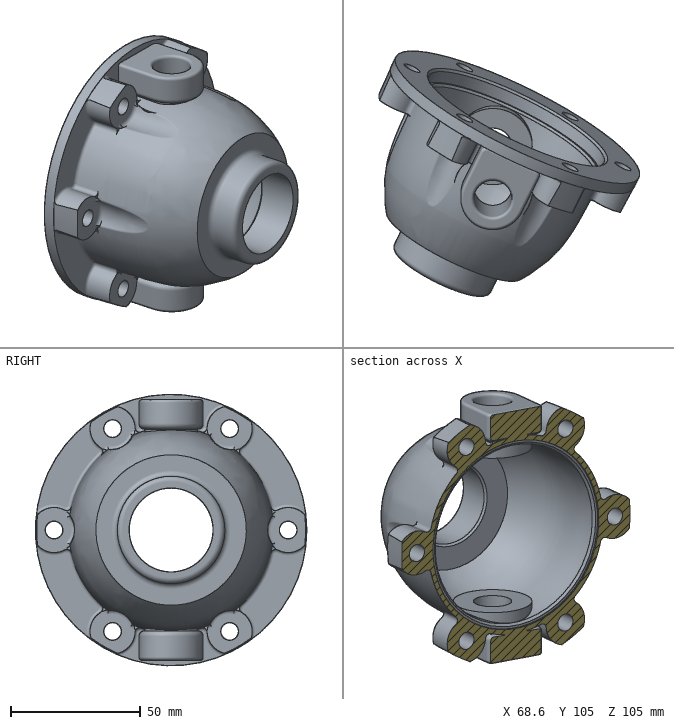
import cadquery as cq
import math

total_length = 68.6
flange_radius = 52.5
flange_thickness = 4.5
flange_root_fillet = 1.2
dome_root_radius = 39.8
dome_shoulder_x = 26.2
dome_shoulder_radius = 39.1
dome_bend_x = 40.4
dome_bend_radius = 36.9
dome_end_x = 56.4
dome_end_radius = 29.1
dome_root_slope = -0.02
dome_end_slope = -0.72
neck_radius = 20.8
neck_round = 2.1

wall = 3.7
pilot_radius = 37.8
pilot_depth = 5.7
seat_radius = 36.8
seat_chamfer = 0.9
floor_x = dome_end_x - wall
floor_radius = 26.3
bore_radius = 16.2
bore_chamfer = 0.8

lug_count = 6
bolt_circle_radius = 45.2
bolt_hole_radius = 3.4
lug_radius = 8.7
lug_end_x = 15.6
lug_end_reach = 51.9
lug_side_fillet = 1.8
lug_foot_fillet = 1.6
foot_reach = 39.3
foot_radius = 8.6

groove_start_x = lug_end_x - 4.2
groove_end_x = 42.0
groove_start_radius = 8.3
groove_end_radius = 7.9
groove_edge_round = 0.8

port_x = 21.9
port_top = 50.4
port_underside = 38.9
port_outer_radius = 12.4
port_corner_round = 2.2
port_top_round = 1.2
port_underside_round = 2.1
port_hole_radius = 7.3
pad_radius = 15.2
pad_height = 31.2

match_tolerance = 0.01


def revolve_about_x(profile):
    return profile.close().revolve(360, (0, 0, 0), (1, 0, 0))


def x_cylinder(start_x, end_x, radius):
    return cq.Workplane("YZ", origin=(start_x, 0, 0)).circle(radius).extrude(end_x - start_x)


def x_cone(start_x, end_x, start_radius, end_radius):
    profile = (
        cq.Workplane("XZ")
        .moveTo(start_x, 0)
        .lineTo(start_x, start_radius)
        .lineTo(end_x, end_radius)
        .lineTo(end_x, 0)
    )
    return revolve_about_x(profile)


def z_cylinder(start_z, end_z, radius):
    return cq.Workplane("XY", origin=(port_x, 0, start_z)).circle(radius).extrude(end_z - start_z)


def around_bolt_circle(shape):
    """Copy a shape built on the X axis to every bolt position, starting at +Y."""
    first = shape.translate((0, bolt_circle_radius, 0))
    copies = first
    for i in range(1, lug_count):
        copies = copies.union(first.rotate((0, 0, 0), (1, 0, 0), i * 360 / lug_count))
    return copies


def top_and_bottom(shape):
    return shape.union(shape.rotate((0, 0, 0), (1, 0, 0), 180))


def fillet_where(body, radius, is_wanted):
    """Fillet every edge whose bounding box and mid-point distance from the X axis pass the test."""
    wanted = []
    for edge in body.edges().vals():
        middle = edge.positionAt(0.5)
        if is_wanted(edge.BoundingBox(), math.hypot(middle.y, middle.z)):
            wanted.append(edge)
    return body.newObject(wanted).fillet(radius)


def lies_at_x(box, x):
    return abs(box.xmin - x) < match_tolerance and abs(box.xmax - x) < match_tolerance


def make_dome():
    profile = (
        cq.Workplane("XZ")
        .moveTo(0, 0)
        .lineTo(0, dome_root_radius)
        .spline(
            [
                (dome_shoulder_x, dome_shoulder_radius),
                (dome_bend_x, dome_bend_radius),
                (dome_end_x, dome_end_radius),
            ],
            tangents=[(1, dome_root_slope), (1, dome_end_slope)],
            includeCurrent=True,
        )
        .lineTo(dome_end_x, 0)
    )
    return revolve_about_x(profile)


def make_neck():
    root_radius = neck_radius + neck_round
    profile = (
        cq.Workplane("XZ")
        .moveTo(floor_x, 0)
        .lineTo(floor_x, root_radius)
        .lineTo(dome_end_x, root_radius)
        .radiusArc((dome_end_x + neck_round, neck_radius), -neck_round)
        .lineTo(total_length - neck_round, neck_radius)
        .radiusArc((total_length, neck_radius - neck_round), neck_round)
        .lineTo(total_length, 0)
    )
    return revolve_about_x(profile)


def make_cavity():
    profile = (
        cq.Workplane("XZ")
        .moveTo(0, 0)
        .lineTo(0, pilot_radius + seat_chamfer)
        .lineTo(seat_chamfer, pilot_radius)
        .lineTo(pilot_depth, pilot_radius)
        .lineTo(pilot_depth, seat_radius)
        .lineTo(pilot_depth + seat_chamfer, seat_radius - seat_chamfer)
        .lineTo(dome_shoulder_x, dome_shoulder_radius - wall)
        .tangentArcPoint((floor_x, floor_radius), relative=False)
        .lineTo(floor_x, bore_radius + bore_chamfer)
        .lineTo(floor_x + bore_chamfer, bore_radius)
        .lineTo(total_length, bore_radius)
        .lineTo(total_length, 0)
    )
    return revolve_about_x(profile)


def cut_grooves(dome):
    groove = x_cone(groove_start_x, groove_end_x, groove_start_radius, groove_end_radius)
    grooved = dome.cut(around_bolt_circle(groove))
    return fillet_where(
        grooved,
        groove_edge_round,
        lambda box, radius: box.xmin > flange_thickness and dome_shoulder_x < box.xmax < groove_end_x,
    )


def add_lugs(body):
    lugs = around_bolt_circle(x_cylinder(0, lug_end_x, lug_radius))
    lugs = lugs.intersect(x_cone(0, lug_end_x, flange_radius, lug_end_reach))
    body = body.union(lugs)
    return fillet_where(
        body,
        lug_side_fillet,
        lambda box, radius: box.xmax - box.xmin > lug_end_x / 2
        and box.xmax < dome_shoulder_x
        and radius < bolt_circle_radius,
    )


def make_lug_feet():
    """Concave blend from each lug end face down to the dome and the groove floor."""
    foot_end_x = lug_end_x + lug_foot_fillet
    start_x = lug_end_x - lug_foot_fillet
    dome_blend = (
        cq.Workplane("XZ")
        .moveTo(start_x, 0)
        .lineTo(start_x, foot_reach + lug_foot_fillet)
        .lineTo(lug_end_x, foot_reach + lug_foot_fillet)
        .radiusArc((foot_end_x, foot_reach), -lug_foot_fillet)
        .lineTo(foot_end_x, 0)
    )
    groove_floor = x_cone(lug_end_x, groove_end_x, groove_start_radius, groove_end_radius)
    groove_floor = groove_floor.faces("<X").edges().fillet(lug_foot_fillet)
    foot = x_cylinder(start_x, foot_end_x, foot_radius).cut(groove_floor)
    return around_bolt_circle(foot).intersect(revolve_about_x(dome_blend))


def add_flange(body):
    body = body.union(x_cylinder(0, flange_thickness, flange_radius))
    return fillet_where(
        body,
        flange_root_fillet,
        lambda box, radius: lies_at_x(box, flange_thickness) and radius < lug_end_reach,
    )


def make_port_boss():
    outline = (
        cq.Workplane("XY", origin=(0, 0, port_underside))
        .moveTo(flange_thickness, -port_outer_radius)
        .lineTo(port_x, -port_outer_radius)
        .threePointArc((port_x + port_outer_radius, 0), (port_x, port_outer_radius))
        .lineTo(flange_thickness, port_outer_radius)
        .close()
    )
    head = outline.extrude(port_top - port_underside)
    head = head.edges("|Z and <X").fillet(port_corner_round)
    stem = head.faces("<Z").wires().toPending().offset2D(-port_underside_round)
    stem = stem.extrude(pad_height - port_underside, combine=False)
    head = head.faces("<Z").edges().fillet(port_underside_round)
    head = head.cut(z_cylinder(port_underside, port_top, port_hole_radius))
    head = head.faces(">Z").edges().fillet(port_top_round)
    return head.union(stem)


dome = make_dome()
result = add_flange(add_lugs(cut_grooves(dome)))
result = result.union(make_lug_feet())
result = result.union(make_neck())
result = result.union(top_and_bottom(make_port_boss()))
result = result.cut(make_cavity())
pads = top_and_bottom(z_cylinder(pad_height, port_top, pad_radius)).intersect(dome)
result = result.union(pads)
result = result.cut(z_cylinder(-port_top, port_top, port_hole_radius))
result = result.cut(around_bolt_circle(x_cylinder(0, lug_end_x, bolt_hole_radius)))